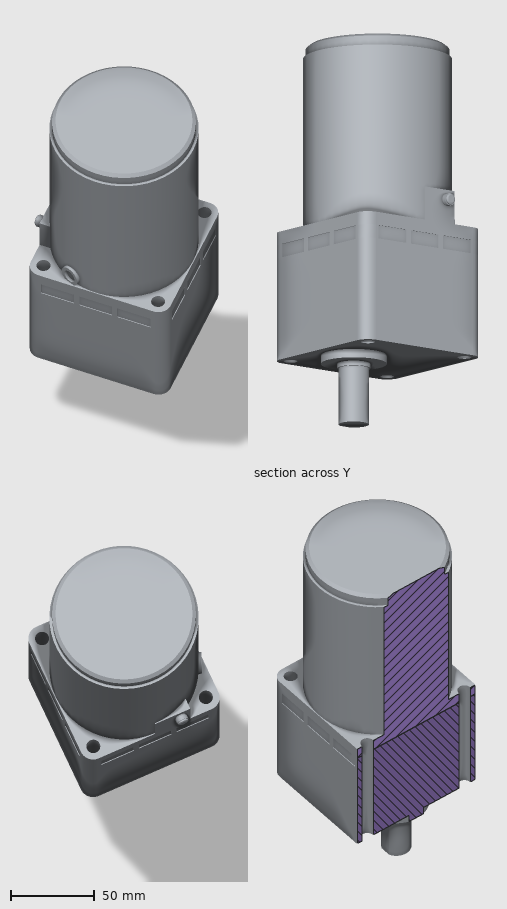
import cadquery as cq
import math

WIDTH = 90.0
CORNER_RADIUS = 8.0
HOLE_DIAMETER = 8.4
HOLE_OFFSET = 37.0

TOTAL_HEIGHT = 232.0
CAP_BOTTOM = 224.5
FLANGE_TOP = 120.0
FLANGE_BOTTOM = 112.0
CASE_TOP = 104.0
CASE_BOTTOM = 42.0
PILOT_BOTTOM = 37.0
COLLAR_BOTTOM = 34.0
FLAT_TOP = 23.0

BARREL_RADIUS = 44.5
CAP_RADIUS = 43.0
CAP_CHAMFER_WIDTH = 2.0
CAP_CHAMFER_HEIGHT = 1.6

BLOCK_WIDTH = 23.0
BLOCK_HEIGHT = 20.2
SCREW_Y = -16.5
SCREW_Z = FLANGE_TOP + 14.0
SCREW_RADIUS = 3.2
SCREW_LENGTH = 4.9
SCREW_CHAMFER_HEIGHT = 0.5
SCREW_CHAMFER_WIDTH = 1.0
WASHER_RADIUS = 3.7
WASHER_THICKNESS = 2.5
WASHER_GAP = 1.0

OUTLET_ANGLE = 22.5
OUTLET_REACH = 46.5
OUTLET_RADIUS = 6.5
OUTLET_BORE_RADIUS = 4.2
OUTLET_BORE_DEPTH = 1.9
OUTLET_HEIGHT = 5.3

RECESSES_PER_SIDE = 3
RECESS_WIDTH = 21.0
RECESS_PITCH = 24.5
RECESS_DEPTH = 0.5

SHAFT_Y = 18.0
PILOT_RADIUS = 19.7
COLLAR_RADIUS = 10.0
SHAFT_RADIUS = 9.0
FLAT_DISTANCE = 8.4


def square_plate(bottom, top):
    """Square plate with rounded corners, drilled at its four corners."""
    return (
        cq.Workplane("XY", origin=(0, 0, bottom))
        .rect(WIDTH, WIDTH)
        .extrude(top - bottom)
        .edges("|Z")
        .fillet(CORNER_RADIUS)
        .faces(">Z")
        .workplane()
        .rect(2 * HOLE_OFFSET, 2 * HOLE_OFFSET, forConstruction=True)
        .vertices()
        .hole(HOLE_DIAMETER)
    )


def cylinder(radius, bottom, top, y=0):
    """Upright cylinder between two levels."""
    return cq.Workplane("XY", origin=(0, y, bottom)).circle(radius).extrude(top - bottom)


def terminal_block():
    """Block flush with the -X side of the flange, reaching into the barrel."""
    return (
        cq.Workplane("XY", origin=(-WIDTH / 2, -BLOCK_WIDTH, FLANGE_TOP))
        .box(WIDTH / 2, BLOCK_WIDTH, BLOCK_HEIGHT, centered=False)
    )


def terminal_screw():
    """Stepped screw standing on the terminal block, built outwards along -X."""
    return (
        cq.Workplane("YZ", origin=(-WIDTH / 2, SCREW_Y, SCREW_Z))
        .circle(SCREW_RADIUS)
        .extrude(-SCREW_LENGTH)
        .faces("<X")
        .chamfer(SCREW_CHAMFER_HEIGHT, SCREW_CHAMFER_WIDTH)
        .union(screw_washer())
    )


def screw_washer():
    """Disc around the screw, held clear of the terminal block."""
    return (
        cq.Workplane("YZ", origin=(-WIDTH / 2 - WASHER_GAP, SCREW_Y, SCREW_Z))
        .circle(WASHER_RADIUS)
        .extrude(-WASHER_THICKNESS)
    )


def outlet_plane(distance):
    """Plane facing radially outwards, at a distance from the Z axis along the cable outlet."""
    angle = math.radians(OUTLET_ANGLE)
    direction = cq.Vector(-math.sin(angle), -math.cos(angle), 0)
    origin = direction * distance + cq.Vector(0, 0, FLANGE_TOP + OUTLET_HEIGHT)
    return cq.Plane(origin=origin, xDir=(0, 0, 1), normal=direction)


def outlet_disc():
    """Disc standing out of the barrel, trimmed by the flange top."""
    start = BARREL_RADIUS / 2
    disc = cq.Workplane(outlet_plane(start)).circle(OUTLET_RADIUS).extrude(OUTLET_REACH - start)
    above_flange = (
        cq.Workplane("XY", origin=(0, 0, FLANGE_TOP))
        .rect(2 * WIDTH, 2 * WIDTH)
        .extrude(OUTLET_HEIGHT + OUTLET_RADIUS)
    )
    return disc.intersect(above_flange)


def outlet_bore():
    """Cutter for the blind bore in the cable outlet."""
    return (
        cq.Workplane(outlet_plane(OUTLET_REACH))
        .circle(OUTLET_BORE_RADIUS)
        .extrude(-OUTLET_BORE_DEPTH)
    )


def end_cap():
    """Slightly narrower cap closing the barrel, with a chamfered rim."""
    return (
        cylinder(CAP_RADIUS, CAP_BOTTOM, TOTAL_HEIGHT)
        .faces(">Z")
        .chamfer(CAP_CHAMFER_HEIGHT, CAP_CHAMFER_WIDTH)
    )


def make_motor():
    return (
        square_plate(FLANGE_BOTTOM, FLANGE_TOP)
        .union(cylinder(BARREL_RADIUS, FLANGE_TOP, CAP_BOTTOM))
        .union(end_cap())
        .union(terminal_block())
        .union(terminal_screw())
        .union(outlet_disc())
        .cut(outlet_bore())
    )


def cover_recesses():
    """Cutters for the rows of recesses on the four sides of the gearbox cover."""
    row = (
        cq.Workplane("XY", origin=(0, -WIDTH / 2, CASE_TOP))
        .rarray(RECESS_PITCH, 2.3, RECESSES_PER_SIDE, 1)
        .rect(RECESS_WIDTH, 2 * RECESS_DEPTH)
        .extrude(FLANGE_BOTTOM - CASE_TOP)
    )
    return [row.rotate((0, 0, 0), (0, 0, 1), 90 * side) for side in range(4)]


def output_shaft():
    """Round shaft with a flat on the +X side of its free end."""
    flat = (
        cq.Workplane("XY", origin=(FLAT_DISTANCE + SHAFT_RADIUS, SHAFT_Y, 0))
        .rect(2 * SHAFT_RADIUS, 2 * SHAFT_RADIUS)
        .extrude(FLAT_TOP)
    )
    return cylinder(SHAFT_RADIUS, 0, COLLAR_BOTTOM, SHAFT_Y).cut(flat)


def make_gearbox():
    cover = square_plate(CASE_TOP, FLANGE_BOTTOM)
    for row in cover_recesses():
        cover = cover.cut(row)
    return (
        square_plate(CASE_BOTTOM, CASE_TOP)
        .union(cylinder(PILOT_RADIUS, PILOT_BOTTOM, CASE_BOTTOM, SHAFT_Y))
        .union(cylinder(COLLAR_RADIUS, COLLAR_BOTTOM, PILOT_BOTTOM, SHAFT_Y))
        .union(output_shaft())
        .union(cover, clean=False)
    )


motor = make_motor()
gearbox = make_gearbox()

result = cq.Compound.makeCompound([motor.val(), gearbox.val()])